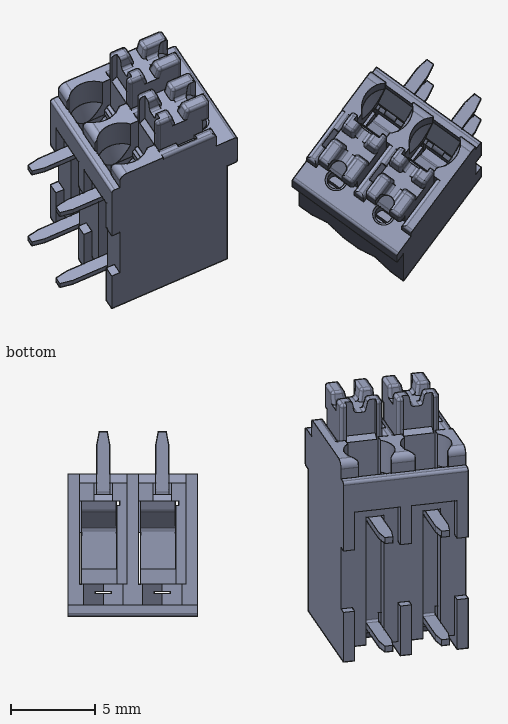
import cadquery as cq


PITCH = 3.5
POLE_COUNT = 2
WIDTH = 7.7
EDGE_RADIUS = 0.2
OVERCUT = 0.75

TOP_Z = 12.79
SHOULDER_Z = 11.67
HOUSING_BACK = 7.8
RIB_BACK = 8.49
RIB_BOTTOM = 9.21
BLOCK_FRONT = 0.55
BLOCK_BACK = 7.05
BLOCK_FRONT_RADIUS = 0.48

WINDOW_WIDTH = 2.81
WINDOW_TOP = 9.66
WINDOW_CEILING_DROP = 0.15
RELIEF_BOTTOM = 3.23
RELIEF_TOP = 7.22

CAVITY_LEFT = -WINDOW_WIDTH / 2
CAVITY_RIGHT = 0.82
CAVITY_BACK = 6.55
CAVITY_TOP = 9.51
FLOOR_Z = 0.7
GAP_RIGHT = 0.97
GAP_BACK = 1.87
NOTCH_HALF_WIDTH = 1.18

SHEET_FRONT = 1.22
SHEET_THICKNESS = 0.4
SHEET_BACK = SHEET_FRONT + SHEET_THICKNESS
SHEET_LEFT = -1.28
SHEET_RIGHT = CAVITY_RIGHT
SHEET_LIP = 0.25
SHOULDER_TOP = 8.64
SHOULDER_BOTTOM = 2.4
PIN_WIDTH = 0.79
PIN_TIP_WIDTH = 0.48
PIN_REACH = 2.5
PIN_TAPER = 0.8
UPPER_PIN_Z = 8.94
LOWER_PIN_Z = 1.5
UPPER_BEND_RADIUS = 0.3
LOWER_BEND_RADIUS = 0.14

SLOT_WIDTH = 1.09
SLOT_TOP = 8.98
SLOT_CHAMFER = 0.48

ENTRY_Y = 1.81
ENTRY_RADIUS = 1.53
ENTRY_FRONT = 0.59
ENTRY_HALF_WIDTH = 1.01
CONE_TOP = 10.72
RAMP_BACK = 1.35
RAMP_BOTTOM = 8.94
LIP_FRONT = 3.07
LIP_TOP = 10.27
LIP_CHAMFER = 0.17
LIP_CREST_HEIGHT = 0.14

BUTTON_WIDTH = 2.6
BUTTON_FRONT = 3.52
BUTTON_BACK = CAVITY_BACK
BUTTON_BOTTOM = CAVITY_TOP
BUTTON_TOP = 15.1
HEAD_BACK = BLOCK_BACK
HEAD_BOTTOM = 13.56
SHAFT_WIDTH = 2.8
SHAFT_FRONT = 3.49
SHAFT_EDGE_RADIUS = 0.23
CATCH_FRONT = 4.67
CATCH_BACK = 5.92
CATCH_WIDTH = 0.41
CATCH_DEPTH = 0.45
GROOVE_FLOOR = 14.33
LONG_GROOVE_FLOOR = 0.66
LONG_GROOVE_TOP = 1.0
CROSS_GROOVE_Y = 5.03
CROSS_GROOVE_FLOOR = 0.57
CROSS_GROOVE_TOP = 0.97
FACE_RECESS_WIDTH = 1.85
FACE_RECESS_BACK = 3.87
LEDGE_TOP = 12.9
LEDGE_BOTTOM = 12.62

PROBE_Y = 6.95
PROBE_RADIUS = 0.51
PROBE_CHAMFER = 0.14
PROBE_DEPTH = 1.51
PROBE_GROOVE_Y = 6.73
PROBE_FLOOR_BACK = 6.99
PROBE_FLOOR_CHAMFER = 0.17
PROBE_CHAMFER_TOP = 13.75
PROBE_SLIT_Y = 7.05
PROBE_SLIT_SIZE = (0.94, 0.1)

SPRING_LEFT = SHEET_LEFT
SPRING_RIGHT = 0.79
SPRING_THICKNESS = 0.2
SPRING_TIP_Z = 7.55
SPRING_FOOT_LENGTH = 0.6
SPRING_FOOT_RISE = 0.27
SPRING_RAMP_LENGTH = 1.05
SPRING_RAMP_RISE = 1.18
SPRING_END_Y = 5.65
SPRING_BEND_RADIUS = 0.3

POLES = [(i - (POLE_COUNT - 1) / 2) * PITCH for i in range(POLE_COUNT)]


def block(x, y, z):
    """Box between the two limits given for each axis."""
    return cq.Workplane("XY").box(
        x[1] - x[0], y[1] - y[0], z[1] - z[0], centered=False
    ).translate((x[0], y[0], z[0]))


def centred_block(width, y, z):
    """Box of the given width, centred on X = 0."""
    return block((-width / 2, width / 2), y, z)


def side_profile(points, x):
    """Prism along X with a (y, z) outline."""
    return cq.Workplane("YZ").polyline(points).close().extrude(x[1] - x[0]).translate((x[0], 0, 0))


def housing_blank():
    """Outer shape: body with a rib along the back and a rounded block on top."""
    span = (-WIDTH / 2, WIDTH / 2)
    body = block(span, (0, HOUSING_BACK), (0, SHOULDER_Z))
    body = body.union(block(span, (0, RIB_BACK), (RIB_BOTTOM, SHOULDER_Z)))
    body = body.edges("|X and >Y").fillet(EDGE_RADIUS)
    body = body.edges("|X and >Z and <Y").fillet(EDGE_RADIUS)
    upper = block(span, (BLOCK_FRONT, BLOCK_BACK), (RIB_BOTTOM, TOP_Z))
    upper = upper.edges("|X and >Z and <Y").fillet(BLOCK_FRONT_RADIUS)
    upper = upper.edges("|X and >Z and >Y").fillet(EDGE_RADIUS)
    return body.union(upper)


def front_relief():
    """Shallow relief across the full width of the front face."""
    return centred_block(WIDTH + OVERCUT, (-OVERCUT, BLOCK_FRONT), (RELIEF_BOTTOM, RELIEF_TOP))


def window():
    """Recess in the front face of one pole, with a sloping ceiling."""
    outline = [
        (0, -OVERCUT),
        (BLOCK_FRONT, -OVERCUT),
        (BLOCK_FRONT, WINDOW_TOP - WINDOW_CEILING_DROP),
        (0, WINDOW_TOP),
    ]
    return side_profile(outline, (-WINDOW_WIDTH / 2, WINDOW_WIDTH / 2))


def cavity():
    """Room for the spring, open at the bottom, with a V notch through the back wall."""
    room = block((CAVITY_LEFT, CAVITY_RIGHT), (SHEET_BACK, CAVITY_BACK), (-OVERCUT, CAVITY_TOP))
    gap = block((CAVITY_LEFT, GAP_RIGHT), (SHEET_BACK, GAP_BACK), (-OVERCUT, CAVITY_TOP))
    foot = centred_block(WINDOW_WIDTH, (0, CAVITY_BACK), (-OVERCUT, FLOOR_Z))
    notch = (
        cq.Workplane("XZ")
        .polyline([(-NOTCH_HALF_WIDTH, 0), (NOTCH_HALF_WIDTH, 0), (0, NOTCH_HALF_WIDTH)])
        .close()
        .extrude(-HOUSING_BACK - OVERCUT)
    )
    notch = notch.intersect(centred_block(WINDOW_WIDTH, (CAVITY_BACK, RIB_BACK), (-OVERCUT, TOP_Z)))
    return room.union(gap).union(foot).union(notch)


def contact_slot():
    """Slot that uncovers the front of the contact, with a chamfer at its lower end."""
    half = SLOT_WIDTH / 2
    slot = block((-half, half), (0, SHEET_FRONT), (0, SLOT_TOP))
    chamfer = side_profile(
        [
            (SHEET_FRONT, FLOOR_Z),
            (SHEET_FRONT, FLOOR_Z + SLOT_CHAMFER),
            (SHEET_BACK, FLOOR_Z),
        ],
        (-half, half),
    )
    return slot.union(chamfer)


def wire_entry():
    """Round funnel whose front wall slopes back onto the contact."""
    barrel = cq.Workplane("XY").center(0, ENTRY_Y).circle(ENTRY_RADIUS).extrude(TOP_Z - CONE_TOP)
    barrel = barrel.translate((0, 0, CONE_TOP))
    cone = cq.Workplane(
        cq.Solid.makeCone(
            ENTRY_HALF_WIDTH, ENTRY_RADIUS, CONE_TOP - CAVITY_TOP, cq.Vector(0, ENTRY_Y, CAVITY_TOP)
        )
    )
    behind_ramp = side_profile(
        [
            (ENTRY_FRONT, TOP_Z),
            (ENTRY_FRONT, CONE_TOP),
            (RAMP_BACK, RAMP_BOTTOM),
            (SHAFT_FRONT, RAMP_BOTTOM),
            (SHAFT_FRONT, TOP_Z),
        ],
        (-ENTRY_RADIUS, ENTRY_RADIUS),
    )
    funnel = barrel.union(cone).intersect(behind_ramp)
    notch = centred_block(2 * ENTRY_HALF_WIDTH, (0, ENTRY_FRONT), (SHOULDER_Z, TOP_Z))
    channel = side_profile(
        [
            (ENTRY_FRONT, TOP_Z),
            (ENTRY_FRONT, CONE_TOP),
            (RAMP_BACK, RAMP_BOTTOM),
            (RAMP_BACK, SHOULDER_TOP),
            (SHEET_BACK, SHOULDER_TOP - SHEET_LIP),
            (SHEET_BACK, CAVITY_TOP - OVERCUT),
            (LIP_FRONT, CAVITY_TOP - OVERCUT),
            (LIP_FRONT, TOP_Z),
        ],
        (-ENTRY_HALF_WIDTH, ENTRY_HALF_WIDTH),
    )
    return funnel.union(notch).union(channel).union(lip_opening())


def lip_opening():
    """Opening between wire entry and button shaft, over a low lip with a round crest."""
    crest_front = LIP_FRONT + LIP_CHAMFER
    crest_middle = (crest_front + SHAFT_FRONT) / 2
    crest_base = LIP_TOP - LIP_CREST_HEIGHT
    return (
        cq.Workplane("YZ")
        .moveTo(LIP_FRONT, TOP_Z)
        .lineTo(LIP_FRONT, crest_base - LIP_CHAMFER)
        .lineTo(crest_front, crest_base)
        .threePointArc((crest_middle, LIP_TOP), (SHAFT_FRONT, crest_base))
        .lineTo(SHAFT_FRONT, TOP_Z)
        .close()
        .extrude(ENTRY_HALF_WIDTH, both=True)
    )


def edge_rounding(x, direction):
    """Cutter that rounds a top edge running along Y, the material being on the given side of x."""
    r = SHAFT_EDGE_RADIUS
    y = (SHAFT_FRONT, BLOCK_BACK + OVERCUT)
    inner = x + direction * r
    corner = block((min(x, inner), max(x, inner)), y, (TOP_Z - r, TOP_Z))
    rod = cq.Workplane("XZ").center(inner, TOP_Z - r).circle(r).extrude(-y[1])
    return corner.cut(rod)


def button_shaft():
    """Guide for the button, open to the back at the top, with a sloping catch recess."""
    half = SHAFT_WIDTH / 2
    mouth = block((-half, half), (SHAFT_FRONT, BLOCK_BACK + OVERCUT), (SHOULDER_Z, TOP_Z))
    shaft = block((-half, half), (SHAFT_FRONT, CAVITY_BACK), (BUTTON_BOTTOM, TOP_Z))
    catch = (
        cq.Workplane("XZ")
        .polyline([(half, TOP_Z - CATCH_DEPTH), (half, TOP_Z), (half + CATCH_WIDTH, TOP_Z)])
        .close()
        .extrude(CATCH_FRONT - CATCH_BACK)
        .translate((0, CATCH_FRONT, 0))
    )
    shaft = mouth.union(shaft).union(catch)
    return shaft.union(edge_rounding(-half, -1)).union(edge_rounding(half, 1))


def probe_hole():
    """Countersunk blind hole with a narrow slit on down through the housing."""
    hole = cq.Workplane("XY").circle(PROBE_RADIUS).extrude(-PROBE_DEPTH)
    countersink = cq.Workplane(
        cq.Solid.makeCone(
            PROBE_RADIUS, PROBE_RADIUS + PROBE_CHAMFER, PROBE_CHAMFER, cq.Vector(0, 0, -PROBE_CHAMFER)
        )
    )
    hole = hole.union(countersink).translate((0, PROBE_Y, SHOULDER_Z))
    slit = cq.Workplane("XY").center(0, PROBE_SLIT_Y).rect(*PROBE_SLIT_SIZE).extrude(SHOULDER_Z)
    return hole.union(slit)


def make_housing(contacts):
    housing = housing_blank().cut(front_relief())
    features = [window(), cavity(), contact_slot(), wire_entry(), button_shaft(), probe_hole()]
    for x in POLES:
        for feature in features:
            housing = housing.cut(feature.translate((x, 0, 0)))
    for contact in contacts:
        housing = housing.cut(contact)
    next_shaft = POLES[-1] + PITCH - SHAFT_WIDTH / 2
    return housing.cut(edge_rounding(next_shaft, -1))


def pin_outline():
    """Outline of a pin with a tapered tip, in X and Y."""
    half = PIN_WIDTH / 2
    tip = PIN_TIP_WIDTH / 2
    taper_start = PIN_TAPER - PIN_REACH
    return [
        (-half, SHEET_BACK),
        (half, SHEET_BACK),
        (half, taper_start),
        (tip, -PIN_REACH),
        (-tip, -PIN_REACH),
        (-half, taper_start),
    ]


def make_contact():
    """Flat sheet between two pins that are bent forward from its ends."""
    outer = centred_block(PIN_WIDTH, (-PIN_REACH, SHEET_BACK), (LOWER_PIN_Z, UPPER_PIN_Z))
    outer = outer.edges("|X and >Y and >Z").fillet(UPPER_BEND_RADIUS + SHEET_THICKNESS)
    outer = outer.edges("|X and >Y and <Z").fillet(LOWER_BEND_RADIUS + SHEET_THICKNESS)
    inner = centred_block(
        PIN_WIDTH + OVERCUT,
        (-PIN_REACH - OVERCUT, SHEET_FRONT),
        (LOWER_PIN_Z + SHEET_THICKNESS, UPPER_PIN_Z - SHEET_THICKNESS),
    )
    inner = inner.edges("|X and >Y and >Z").fillet(UPPER_BEND_RADIUS)
    inner = inner.edges("|X and >Y and <Z").fillet(LOWER_BEND_RADIUS)
    taper = cq.Workplane("XY").polyline(pin_outline()).close().extrude(TOP_Z)
    staple = outer.cut(inner).intersect(taper)
    sheet = block((SHEET_LEFT, SHEET_RIGHT), (SHEET_FRONT, SHEET_BACK), (SHOULDER_BOTTOM, SHOULDER_TOP))
    sheet = sheet.edges("|X and >Y and >Z").chamfer(SHEET_LIP)
    return sheet.union(staple)


def groove(plane, floor_width, top_width):
    """Tapered groove from the button top, running along the normal of the plane."""
    outline = [
        (-floor_width / 2, GROOVE_FLOOR),
        (floor_width / 2, GROOVE_FLOOR),
        (top_width / 2, BUTTON_TOP),
        (-top_width / 2, BUTTON_TOP),
    ]
    return cq.Workplane(plane).polyline(outline).close().extrude(HEAD_BACK, both=True)


def groove_floor_rounding():
    """Concave fillets along the floor of the long groove, stopping short of the cross groove."""
    sharp = groove("XZ", LONG_GROOVE_FLOOR, LONG_GROOVE_TOP)
    corners = sharp.cut(sharp.edges("|Y and <Z").fillet(EDGE_RADIUS))
    gap = CROSS_GROOVE_FLOOR / 2 + EDGE_RADIUS
    z = (GROOVE_FLOOR, BUTTON_TOP)
    front = centred_block(BUTTON_WIDTH, (BUTTON_FRONT, CROSS_GROOVE_Y - gap), z)
    back = centred_block(BUTTON_WIDTH, (CROSS_GROOVE_Y + gap, HEAD_BACK), z)
    return corners.intersect(front.union(back))


def face_recess():
    """Recess in the front face of the button, ending in a sloping ledge."""
    outline = [
        (BUTTON_FRONT, LEDGE_BOTTOM),
        (FACE_RECESS_BACK, LEDGE_TOP),
        (FACE_RECESS_BACK, BUTTON_TOP),
        (BUTTON_FRONT - OVERCUT, BUTTON_TOP),
        (BUTTON_FRONT - OVERCUT, LEDGE_BOTTOM),
    ]
    return side_profile(outline, (-FACE_RECESS_WIDTH / 2, FACE_RECESS_WIDTH / 2))


def probe_groove():
    """Upright round groove in the back of the head, with a floor sloping down to the back."""
    groove_front = PROBE_GROOVE_Y - PROBE_RADIUS
    round_end = cq.Workplane("XY").circle(PROBE_RADIUS).extrude(BUTTON_TOP)
    round_end = round_end.translate((0, PROBE_GROOVE_Y, 0))
    straight = centred_block(2 * PROBE_RADIUS, (PROBE_GROOVE_Y, HEAD_BACK + OVERCUT), (0, BUTTON_TOP))
    above_floor = side_profile(
        [
            (groove_front, GROOVE_FLOOR),
            (PROBE_FLOOR_BACK - PROBE_FLOOR_CHAMFER, PROBE_CHAMFER_TOP),
            (PROBE_FLOOR_BACK, HEAD_BOTTOM),
            (HEAD_BACK + OVERCUT, HEAD_BOTTOM),
            (HEAD_BACK + OVERCUT, BUTTON_TOP),
            (groove_front, BUTTON_TOP),
        ],
        (-PROBE_RADIUS, PROBE_RADIUS),
    )
    return round_end.union(straight).intersect(above_floor)


def make_button():
    head = centred_block(BUTTON_WIDTH, (BUTTON_FRONT, HEAD_BACK), (BUTTON_BOTTOM, BUTTON_TOP))
    head = head.edges("|Z").fillet(EDGE_RADIUS)
    undercut = centred_block(
        BUTTON_WIDTH, (BUTTON_BACK, HEAD_BACK), (BUTTON_BOTTOM, HEAD_BOTTOM)
    )
    button = head.cut(undercut)
    button = button.cut(groove("XZ", LONG_GROOVE_FLOOR, LONG_GROOVE_TOP))
    cross = groove("YZ", CROSS_GROOVE_FLOOR, CROSS_GROOVE_TOP).translate((0, CROSS_GROOVE_Y, 0))
    button = button.cut(cross)
    beside_cross = cq.selectors.BoxSelector(
        (-BUTTON_WIDTH, CROSS_GROOVE_Y - CROSS_GROOVE_TOP / 2, GROOVE_FLOOR),
        (BUTTON_WIDTH, CROSS_GROOVE_Y + CROSS_GROOVE_TOP / 2, BUTTON_TOP - EDGE_RADIUS),
    )
    button = button.edges(beside_cross).edges("not #Z").fillet(EDGE_RADIUS)
    button = button.faces(">Z").edges().fillet(EDGE_RADIUS)
    button = button.union(groove_floor_rounding())
    return button.cut(face_recess()).cut(probe_groove())


def make_spring():
    """Bent strip under the button with its clamping end against the contact."""
    foot_end = (SHEET_BACK + SPRING_FOOT_LENGTH, SPRING_TIP_Z + SPRING_FOOT_RISE)
    back_z = foot_end[1] + SPRING_RAMP_RISE
    ramp_end = (foot_end[0] + SPRING_RAMP_LENGTH, back_z)
    path = [(SHEET_BACK, SPRING_TIP_Z), foot_end, ramp_end, (SPRING_END_Y, back_z)]
    outline = path + [(y, z - SPRING_THICKNESS) for y, z in reversed(path)]
    strip = side_profile(outline, (SPRING_LEFT, SPRING_RIGHT))
    for y, z in (foot_end, ramp_end):
        for level in (z, z - SPRING_THICKNESS):
            corner = cq.selectors.NearestToPointSelector(((SPRING_LEFT + SPRING_RIGHT) / 2, y, level))
            strip = strip.edges("|X").edges(corner).fillet(SPRING_BEND_RADIUS)
    return strip


contact = make_contact()
button = make_button()
spring = make_spring()
contacts = [contact.translate((x, 0, 0)) for x in POLES]
buttons = [button.translate((x, 0, 0)) for x in POLES]
springs = [spring.translate((x, 0, 0)) for x in POLES]
housing = make_housing(contacts)

bodies = [housing, *contacts, *buttons, *springs]
result = cq.Compound.makeCompound([body.solids().val() for body in bodies])